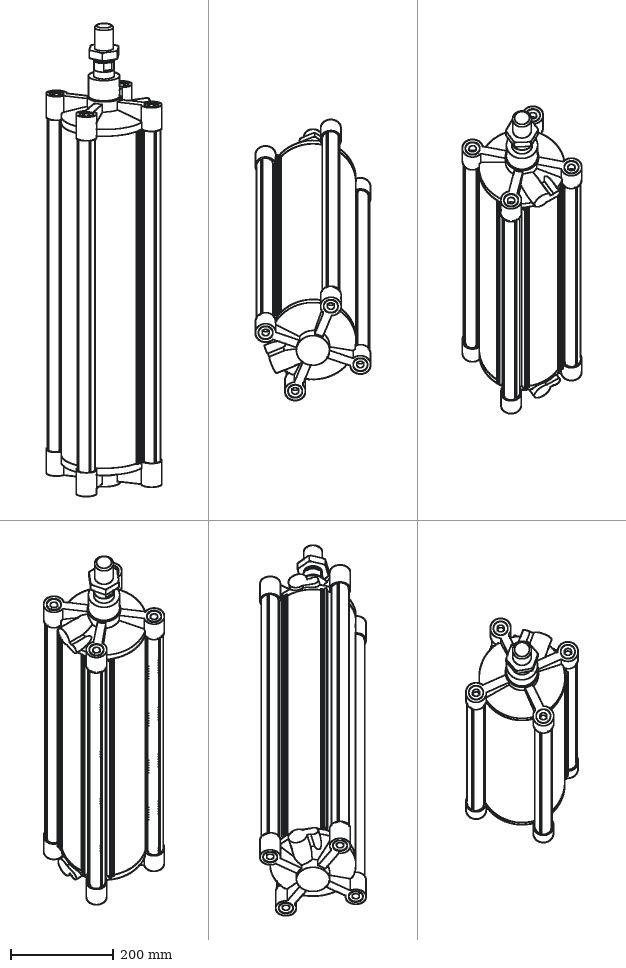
import cadquery as cq
import math

TOTAL_LENGTH = 938.0
FLANGE_HEIGHT = 7.0
CAP_HEIGHT = 49.0
FRONT_FACE_Z = 787.0
REAR_FACE_Z = FLANGE_HEIGHT
BARREL_BOTTOM_Z = REAR_FACE_Z + CAP_HEIGHT
BARREL_TOP_Z = FRONT_FACE_Z - CAP_HEIGHT
BARREL_LENGTH = BARREL_TOP_Z - BARREL_BOTTOM_Z

SIDE_LENGTH = 180.0
BOSS_DIAMETER = 40.0
CORNER_OFFSET = (SIDE_LENGTH - BOSS_DIAMETER) / 2
DIAGONAL_ANGLES = [45, 135, 225, 315]

CAP_DIAMETER = 168.0
CAP_RIM_HEIGHT = 14.0
CONE_HEIGHT = 19.0
HUB_DIAMETER = 65.0
HUB_CHAMFER = 2.0
RIB_WIDTH = 17.0
SCREW_RECESS_DIAMETER = 28.0
SCREW_RECESS_DEPTH = 2.0
SCREW_HOLE_DIAMETER = 14.0
SCREW_HOLE_DEPTH = 19.0
GUIDE_DIAMETER = 61.0
GUIDE_TOP_Z = 835.0

PORT_FACE_Y = SIDE_LENGTH / 2
PORT_DIAMETER = 37.5
PORT_X = 10.0
PORT_DEPTH_Z = 26.0
VALVE_DIAMETER = 19.0
VALVE_X = -22.0
VALVE_DEPTH_Z = 33.0
SHELF_DEPTH_Z = 25.0

BARREL_DIAMETER = 167.0
LOBE_DIAMETER = 35.0
LOBE_OFFSET = 70.0
WEB_WIDTH = 19.0
LOBE_SLOT_WIDTH = 4.0
LOBE_SLOT_DEPTH = 3.0
RAIL_OUTER_OFFSET = 80.0
RAIL_SIDE_OFFSET = 39.0
RAIL_HEIGHT = 19.0
RAIL_WIDTH = 11.0
RAIL_SLOT_WIDTH = 4.0
RAIL_SLOT_DEPTH = 5.0

ROD_DIAMETER = 40.0
ROD_SHOULDER_Z = 849.0
NECK_DIAMETER = 39.0
NECK_TOP_Z = 867.0
FLAT_WIDTH = 36.0
FLAT_BOTTOM_Z = 852.0
UNDERCUT_DIAMETER = 32.0
UNDERCUT_HEIGHT = 3.0
THREAD_DIAMETER = 37.0
THREAD_CHAMFER = 4.0

NUT_ACROSS_FLATS = 55.0
NUT_BOTTOM_Z = 875.0
NUT_TOP_Z = 892.0
NUT_CHAMFER_DIAMETER = 61.0


def corners(offset):
    """The four points at equal X and Y distance from the axis."""
    return [(sx * offset, sy * offset) for sx in (-1, 1) for sy in (-1, 1)]


def cylinder(diameter, bottom, top, points=((0, 0),)):
    """Vertical cylinders between two heights, one at each point."""
    return (
        cq.Workplane("XY", origin=(0, 0, bottom))
        .pushPoints(list(points))
        .circle(diameter / 2)
        .extrude(top - bottom)
    )


def radial_bar(inner, outer, width, bottom, height, angle):
    """Box lying along a radius of the given angle."""
    return (
        cq.Workplane("XY", origin=(0, 0, bottom))
        .center((inner + outer) / 2, 0)
        .rect(outer - inner, width)
        .extrude(height)
        .rotate((0, 0, 0), (0, 0, 1), angle)
    )


def side_boss(diameter, x, depth):
    """Horizontal boss from the cap axis plane to the port face."""
    return (
        cq.Workplane("XZ", origin=(x, PORT_FACE_Y, CAP_HEIGHT - depth))
        .circle(diameter / 2)
        .extrude(PORT_FACE_Y)
    )


def port_shelf():
    """Flat-topped block filling the gap between the valve boss and the port."""
    bottom = CAP_HEIGHT - VALVE_DEPTH_Z - VALVE_DIAMETER / 2
    top = CAP_HEIGHT - SHELF_DEPTH_Z
    return (
        cq.Workplane("XY", origin=(0, 0, bottom))
        .center((VALVE_X + PORT_X) / 2, PORT_FACE_Y / 2)
        .rect(PORT_X - VALVE_X, PORT_FACE_Y)
        .extrude(top - bottom)
    )


def make_cap():
    """Cap with its barrel side at Z = 0 and its outer face pointing up."""
    boss_axes = corners(CORNER_OFFSET)
    boss_radius = CORNER_OFFSET * math.sqrt(2)
    rim_radius = CAP_DIAMETER / 2
    hub_radius = HUB_DIAMETER / 2
    flange_top = CAP_HEIGHT + FLANGE_HEIGHT
    profile = [
        (0, 0),
        (rim_radius, 0),
        (rim_radius, CAP_RIM_HEIGHT),
        (hub_radius, CAP_RIM_HEIGHT + CONE_HEIGHT),
        (hub_radius, flange_top),
        (0, flange_top),
    ]
    cap = cq.Workplane("XZ").polyline(profile).close().revolve(360, (0, 0, 0), (0, 1, 0))
    for angle in DIAGONAL_ANGLES:
        cap = cap.union(radial_bar(0, boss_radius, RIB_WIDTH, 0, CAP_HEIGHT, angle))
    cap = cap.union(cylinder(BOSS_DIAMETER, 0, CAP_HEIGHT, boss_axes))
    cap = cap.union(side_boss(PORT_DIAMETER, PORT_X, PORT_DEPTH_Z))
    cap = cap.union(side_boss(VALVE_DIAMETER, VALVE_X, VALVE_DEPTH_Z))
    cap = cap.union(port_shelf())
    cap = cap.cut(cylinder(SCREW_RECESS_DIAMETER, CAP_HEIGHT - SCREW_RECESS_DEPTH, CAP_HEIGHT, boss_axes))
    return cap.cut(cylinder(SCREW_HOLE_DIAMETER, CAP_HEIGHT - SCREW_HOLE_DEPTH, CAP_HEIGHT, boss_axes))


def make_front_cap():
    """Cap with the rod guide sleeve and the rod bore."""
    cap = make_cap().faces(">Z").edges().chamfer(HUB_CHAMFER)
    cap = cap.translate((0, 0, BARREL_TOP_Z))
    cap = cap.union(cylinder(GUIDE_DIAMETER, BARREL_TOP_Z, GUIDE_TOP_Z))
    return cap.cut(cylinder(ROD_DIAMETER, BARREL_TOP_Z, GUIDE_TOP_Z))


def make_rear_cap():
    """Cap turned upside down, closing the bottom of the barrel."""
    return make_cap().mirror("XY").translate((0, 0, BARREL_BOTTOM_Z))


def make_lobes():
    """Four corner lobes joined to the barrel by webs, each with four slots along its length."""
    lobe_axes = corners(LOBE_OFFSET)
    lobes = cylinder(LOBE_DIAMETER, BARREL_BOTTOM_Z, BARREL_TOP_Z, lobe_axes)
    for angle in DIAGONAL_ANGLES:
        web = radial_bar(0, LOBE_OFFSET * math.sqrt(2), WEB_WIDTH, BARREL_BOTTOM_Z, BARREL_LENGTH, angle)
        lobes = lobes.union(web)
    slot_radius = LOBE_DIAMETER / 2
    for x, y in lobe_axes:
        for angle in (0, 90, 180, 270):
            slot = radial_bar(slot_radius - LOBE_SLOT_DEPTH, slot_radius + LOBE_SLOT_DEPTH,
                              LOBE_SLOT_WIDTH, BARREL_BOTTOM_Z, BARREL_LENGTH, angle)
            lobes = lobes.cut(slot.translate((x, y, 0)))
    return lobes


def rail_bar(depth, width, angle, side):
    """Bar reaching inwards from a sensor rail's outer face, on the face turned to the given angle."""
    inner = RAIL_OUTER_OFFSET - depth
    bar = radial_bar(inner, RAIL_OUTER_OFFSET, width, BARREL_BOTTOM_Z, BARREL_LENGTH, 0)
    bar = bar.translate((0, side * RAIL_SIDE_OFFSET, 0))
    return bar.rotate((0, 0, 0), (0, 0, 1), angle)


def make_barrel():
    """Barrel with corner lobes and sensor rails on both sides of the two +Y corners."""
    barrel = cylinder(BARREL_DIAMETER, BARREL_BOTTOM_Z, BARREL_TOP_Z).union(make_lobes())
    for angle, side in ((0, 1), (90, 1), (90, -1), (180, -1)):
        barrel = barrel.union(rail_bar(RAIL_HEIGHT, RAIL_WIDTH, angle, side))
        barrel = barrel.cut(rail_bar(RAIL_SLOT_DEPTH, RAIL_SLOT_WIDTH, angle, side))
    return barrel


def make_rod():
    """Piston rod with wrench flats facing +X and -X, an undercut and a threaded end."""
    rod = cylinder(ROD_DIAMETER, BARREL_TOP_Z, ROD_SHOULDER_Z)
    neck = cylinder(NECK_DIAMETER, FLAT_BOTTOM_Z, NECK_TOP_Z)
    flats = cq.Workplane("XY", origin=(0, 0, FLAT_BOTTOM_Z)).rect(FLAT_WIDTH, NECK_DIAMETER)
    neck = neck.intersect(flats.extrude(NECK_TOP_Z - FLAT_BOTTOM_Z))
    rod = rod.union(cylinder(NECK_DIAMETER, ROD_SHOULDER_Z, FLAT_BOTTOM_Z)).union(neck)
    thread_bottom = NECK_TOP_Z + UNDERCUT_HEIGHT
    rod = rod.union(cylinder(UNDERCUT_DIAMETER, NECK_TOP_Z, thread_bottom))
    thread = cylinder(THREAD_DIAMETER, thread_bottom, TOTAL_LENGTH)
    thread = thread.edges(">Z").chamfer(THREAD_CHAMFER)
    thread = thread.edges("<Z").chamfer((THREAD_DIAMETER - UNDERCUT_DIAMETER) / 2)
    return rod.union(thread)


def make_nut():
    """Hexagon nut with flats facing +X and -X and conically chamfered corners."""
    height = NUT_TOP_Z - NUT_BOTTOM_Z
    across_corners = NUT_ACROSS_FLATS / math.cos(math.radians(30))
    hexagon = (
        cq.Workplane("XY", origin=(0, 0, NUT_BOTTOM_Z))
        .polygon(6, across_corners)
        .extrude(height)
        .rotate((0, 0, 0), (0, 0, 1), 90)
    )
    chamfer = (across_corners - NUT_CHAMFER_DIAMETER) / 2
    rounding = cylinder(across_corners, NUT_BOTTOM_Z, NUT_TOP_Z).edges().chamfer(chamfer)
    return hexagon.intersect(rounding).cut(cylinder(THREAD_DIAMETER, NUT_BOTTOM_Z, NUT_TOP_Z))


front_cap = make_front_cap()
rear_cap = make_rear_cap()
barrel = make_barrel()
rod = make_rod()
nut = make_nut()

result = cq.Compound.makeCompound(
    [front_cap.val(), rear_cap.val(), barrel.val(), rod.val(), nut.val()]
)